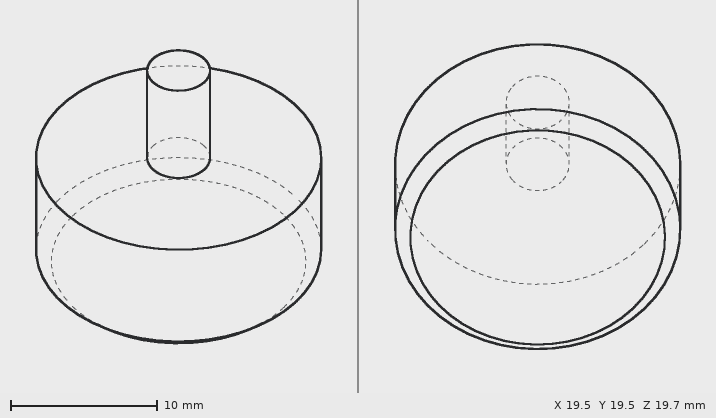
import cadquery as cq

overall_height = 19.7
body_diameter = 19.5
stud_diameter = 4.3
stud_length = 7.8
chamfer_size = 1.05
cone_height = 2.65

body_radius = body_diameter / 2
stud_radius = stud_diameter / 2
cone_radius = body_radius - chamfer_size
chamfer_top = cone_height + chamfer_size
shoulder_height = overall_height - stud_length


def turned_part():
    """Revolve the half profile: pointed underside, chamfer, body and stud."""
    half_profile = (
        cq.Workplane("XZ")
        .moveTo(0, 0)
        .lineTo(cone_radius, cone_height)
        .lineTo(body_radius, chamfer_top)
        .lineTo(body_radius, shoulder_height)
        .lineTo(stud_radius, shoulder_height)
        .lineTo(stud_radius, overall_height)
        .lineTo(0, overall_height)
        .close()
    )
    return half_profile.revolve(360, (0, 0, 0), (0, 1, 0))


result = turned_part()